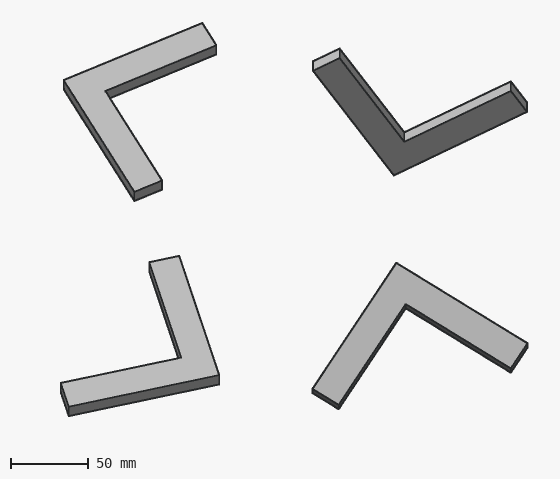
import cadquery as cq

leg_length = 100.0
leg_width = 20.0
thickness = 10.0

outline = [
    (0, 0),
    (leg_length, 0),
    (leg_length, leg_width),
    (leg_width, leg_width),
    (leg_width, leg_length),
    (0, leg_length),
]

result = cq.Workplane("XY").polyline(outline).close().extrude(thickness)